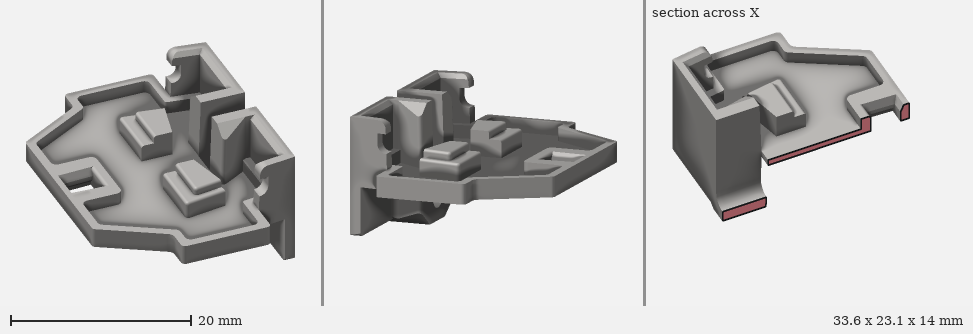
import cadquery as cq
import math

DEPTH = 23.1
PLATE_HALF_WIDTH = 16.8
PLATE_THICKNESS = 2.35
PLATE_SIDE_FRONT_Y = 7.75
PLATE_SIDE_BACK_Y = 18.45
FOOT_HALF_WIDTH = 9.55
TAPER_ANGLE = 30.0
CORNER_R = 0.5
TAPER_ROOT_R = 0.9

TOP_Z = 7.87
HEIGHT = 14.0
BLOCK_BOTTOM_Z = TOP_Z - HEIGHT
LOWER_WALL_BOTTOM_Z = -5.63

SIDE_ANGLE = 8.0
DRAFT_ANGLE = 2.0

BACK_HALF_WIDTH = 12.6
BACK_WALL = 1.33
SIDE_WALL = 1.55
RIM_CHAMFER = 0.5
NOTCH_TOP_Z = 6.37
NOTCH_BOTTOM_Z = 4.14
NOTCH_Y = DEPTH - 3.45
NOTCH_R = 1.05
WALL_TIP_R = 1.0

RIM = 1.0
FLOOR_Z = 0.85
POCKET_SIDE_INSET = 2.5
POCKET_R = 0.7
POCKET_SHOULDER_R = 0.3
POCKET_BACK_R = 1.0
TAB_HALF_WIDTH = 4.0
TAB_BACK_Y = 6.0

WINDOW_FRONT_Y = 0.7
WINDOW_BACK_Y = 5.15
WINDOW_FRONT_HALF = 1.9
WINDOW_BACK_HALF = 2.1
WINDOW_FRONT_INSET = 0.43
WINDOW_BACK_INSET = 0.4
WINDOW_SIDE_INSET = 0.5
WINDOW_FUNNEL_Z = 1.45
WINDOW_LAND_Z = 0.95

BLOCK_NECK_HALF = 3.03
BLOCK_NECK_Y = DEPTH - 1.92
BLOCK_FRONT_Y = DEPTH - 5.62
BLOCK_FLARE_ANGLE = 30.0
BLOCK_EDGE_R = 0.4
BLOCK_ROOT_R = 0.57
BLOCK_BEVEL_ANGLE = 35.0
BLOCK_BOTTOM_HALF = 2.25
SLOT_WIDTH = 3.1
SLOT_BOTTOM_Z = -4.67

BOSS_INNER_X = 3.03
BOSS_INNER_BACK_Y = 14.95
BOSS_BACK_SLOPE = 0.235
BOSS_SIDE_ANGLE = 9.0
BOSS_EDGE_R = 0.34
BOSS_CORNER_R = 0.4
BOSS_STEPS = [(9.63, 11.26, 2.87), (8.6, 12.73, 3.8)]


def tan(degrees):
    return math.tan(math.radians(degrees))


def side_x(y):
    """Outer X of the splayed side wall at a given Y."""
    return BACK_HALF_WIDTH + (DEPTH - y) * tan(SIDE_ANGLE)


def taper_x(y):
    """Outer X of the front taper at a given Y."""
    return FOOT_HALF_WIDTH + y * tan(TAPER_ANGLE)


def nearest(x, y, z):
    """Selector for the edge whose centre is closest to a point."""
    return cq.selectors.NearestToPointSelector((x, y, z))


def outline(corners, z=0.0):
    """Closed wire through (x, y, radius) corners, each rounded to its radius."""
    wp = cq.Workplane("XY").workplane(offset=z)
    count = len(corners)
    for i, (x, y, radius) in enumerate(corners):
        corner = cq.Vector(x, y)
        to_prev = (cq.Vector(*corners[i - 1][:2]) - corner).normalized()
        to_next = (cq.Vector(*corners[(i + 1) % count][:2]) - corner).normalized()
        half_angle = to_prev.getAngle(to_next) / 2
        run = radius / math.tan(half_angle)
        start = corner + to_prev * run
        wp = wp.lineTo(start.x, start.y) if i else wp.moveTo(start.x, start.y)
        if radius > 0:
            bisector = (to_prev + to_next).normalized()
            middle = corner + bisector * (radius / math.sin(half_angle) - radius)
            end = corner + to_next * run
            wp = wp.threePointArc((middle.x, middle.y), (end.x, end.y))
    return wp.close()


def symmetric(right_half):
    """Add the mirrored left half to a list of right-half corners."""
    return right_half + [(-x, y, r) for x, y, r in reversed(right_half)]


def prism(corners, z_low, z_high):
    return outline(corners, z_low).extrude(z_high - z_low)


def loft(lower, upper):
    """Straight-sided solid between two outlines at different heights."""
    return cq.Workplane(cq.Solid.makeLoft([lower.val(), upper.val()], True))


def across_x(points):
    """Prism of a Y-Z profile running the full width of the part."""
    return cq.Workplane("YZ").polyline(points).close().extrude(PLATE_HALF_WIDTH, both=True)


def make_plate():
    return prism(symmetric([
        (FOOT_HALF_WIDTH, 0, CORNER_R),
        (taper_x(PLATE_SIDE_FRONT_Y), PLATE_SIDE_FRONT_Y, TAPER_ROOT_R),
        (PLATE_HALF_WIDTH, PLATE_SIDE_FRONT_Y, CORNER_R),
        (PLATE_HALF_WIDTH, PLATE_SIDE_BACK_Y, CORNER_R),
        (side_x(PLATE_SIDE_BACK_Y), PLATE_SIDE_BACK_Y, 0),
        (side_x(DEPTH), DEPTH, 0),
    ]), 0, PLATE_THICKNESS)


def make_tray_pocket():
    taper_inset = RIM / math.cos(math.radians(TAPER_ANGLE))
    front_y = PLATE_SIDE_FRONT_Y + RIM
    shoulder_y = PLATE_SIDE_BACK_Y - RIM
    back_y = DEPTH - BACK_WALL - RIM
    side_x_inner = PLATE_HALF_WIDTH - RIM
    return prism(symmetric([
        (TAB_HALF_WIDTH, TAB_BACK_Y, POCKET_R),
        (TAB_HALF_WIDTH, RIM, POCKET_R),
        (taper_x(RIM) - taper_inset, RIM, POCKET_R),
        (taper_x(front_y) - taper_inset, front_y, POCKET_R),
        (side_x_inner, front_y, POCKET_R),
        (side_x_inner, shoulder_y, POCKET_R),
        (side_x(shoulder_y) - POCKET_SIDE_INSET, shoulder_y, POCKET_SHOULDER_R),
        (side_x(back_y) - POCKET_SIDE_INSET, back_y, POCKET_BACK_R),
    ]), FLOOR_Z, PLATE_THICKNESS)


def make_upper_walls():
    """Back wall and splayed side walls standing on the plate, with snap notches."""
    front_y = PLATE_SIDE_BACK_Y
    height = TOP_Z - PLATE_THICKNESS
    walls = prism(symmetric([
        (side_x(front_y), front_y, 0),
        (BACK_HALF_WIDTH, DEPTH, 0),
    ]), PLATE_THICKNESS, TOP_Z)

    def cavity(inset, z):
        back_y = DEPTH - BACK_WALL + inset
        half = SIDE_WALL - inset
        return outline(symmetric([
            (side_x(0) - half, 0, 0),
            (side_x(back_y) - half, back_y, 0),
        ]), z)

    walls = walls.cut(cavity(0, PLATE_THICKNESS).extrude(height))
    walls = walls.cut(loft(cavity(0, TOP_Z - RIM_CHAMFER), cavity(RIM_CHAMFER, TOP_Z)))

    tip_y = front_y + height * tan(DRAFT_ANGLE)
    side_profile = across_x([
        (front_y, PLATE_THICKNESS), (DEPTH, PLATE_THICKNESS),
        (DEPTH, TOP_Z), (tip_y, TOP_Z),
    ]).edges(nearest(0, tip_y, TOP_Z)).fillet(WALL_TIP_R)
    notch = (
        cq.Workplane("YZ")
        .moveTo(0, NOTCH_TOP_Z)
        .lineTo(NOTCH_Y, NOTCH_TOP_Z)
        .lineTo(NOTCH_Y, NOTCH_BOTTOM_Z + NOTCH_R)
        .radiusArc((NOTCH_Y - NOTCH_R, NOTCH_BOTTOM_Z), NOTCH_R)
        .lineTo(0, NOTCH_BOTTOM_Z)
        .close()
        .extrude(PLATE_HALF_WIDTH, both=True)
    )
    return walls.intersect(side_profile).cut(notch)


def make_lower_wall():
    """Back wall hanging below the plate, with rounded bottom corners."""
    front_y = DEPTH - BACK_WALL
    half = side_x(front_y)
    wall = prism(symmetric([
        (half, front_y, 0),
        (BACK_HALF_WIDTH, DEPTH, 0),
    ]), LOWER_WALL_BOTTOM_Z, 0)
    face = (
        cq.Workplane("XZ")
        .rect(2 * half, -2 * LOWER_WALL_BOTTOM_Z)
        .extrude(-DEPTH)
        .edges("|Y")
        .fillet(CORNER_R)
    )
    return wall.intersect(face)


def make_block():
    """Dovetail block: flared flanks, drafted front, bevelled top and bottom."""
    flare = tan(BLOCK_FLARE_ANGLE)
    wall_y = DEPTH - BACK_WALL

    def flank_x(y):
        return BLOCK_NECK_HALF + (BLOCK_NECK_Y - y) * flare

    tip = (flank_x(BLOCK_FRONT_Y), BLOCK_FRONT_Y, 0)
    upper = prism(symmetric([
        tip,
        (BLOCK_NECK_HALF, BLOCK_NECK_Y, 0),
        (BLOCK_NECK_HALF, DEPTH, 0),
    ]), 0, TOP_Z)
    root_half = flank_x(wall_y) + 2 * BLOCK_ROOT_R
    lower = prism(symmetric([
        tip,
        (flank_x(wall_y), wall_y, BLOCK_ROOT_R),
        (root_half, wall_y, 0),
        (root_half, DEPTH, 0),
    ]), BLOCK_BOTTOM_Z, 0)

    def drafted(body, end_z):
        front_y = BLOCK_FRONT_Y + abs(end_z) * tan(DRAFT_ANGLE)
        body = body.intersect(across_x([
            (BLOCK_FRONT_Y, 0), (DEPTH, 0), (DEPTH, end_z), (front_y, end_z),
        ]))
        for side in (-1, 1):
            x, y, _ = tip
            front_edge = nearest(side * x, (y + front_y) / 2, end_z / 2)
            body = body.edges(front_edge).fillet(BLOCK_EDGE_R)
        return body

    block = drafted(upper, TOP_Z).union(drafted(lower, BLOCK_BOTTOM_Z))

    reach = tip[0]
    bevel = tan(BLOCK_BEVEL_ANGLE)
    right_half = [
        (BLOCK_BOTTOM_HALF, BLOCK_BOTTOM_Z),
        (reach, BLOCK_BOTTOM_Z + (reach - BLOCK_BOTTOM_HALF) * bevel),
        (reach, TOP_Z - (reach - BLOCK_NECK_HALF) * bevel),
        (BLOCK_NECK_HALF, TOP_Z),
    ]
    envelope = (
        cq.Workplane("XZ")
        .polyline(right_half + [(-x, z) for x, z in reversed(right_half)])
        .close()
        .extrude(-DEPTH)
    )
    return block.intersect(envelope)


def make_slot():
    """U slot through the block, open at the top."""
    radius = SLOT_WIDTH / 2
    return (
        cq.Workplane("XZ", origin=(0, BLOCK_FRONT_Y, 0))
        .moveTo(-radius, TOP_Z)
        .lineTo(-radius, SLOT_BOTTOM_Z + radius)
        .threePointArc((0, SLOT_BOTTOM_Z), (radius, SLOT_BOTTOM_Z + radius))
        .lineTo(radius, TOP_Z)
        .close()
        .extrude(BLOCK_FRONT_Y - DEPTH)
    )


def make_window():
    """Latch window: funnel on top, a narrow land, and side undercuts below."""
    front_y = WINDOW_FRONT_Y + WINDOW_FRONT_INSET
    back_y = WINDOW_BACK_Y - WINDOW_BACK_INSET
    front_half = WINDOW_FRONT_HALF - WINDOW_SIDE_INSET
    back_half = WINDOW_BACK_HALF - WINDOW_SIDE_INSET

    def section(widening, z):
        return outline(symmetric([
            (front_half + widening, front_y, 0),
            (back_half + widening, back_y, 0),
        ]), z)

    mouth = outline(symmetric([
        (WINDOW_FRONT_HALF, WINDOW_FRONT_Y, 0),
        (WINDOW_BACK_HALF, back_y, 0),
    ]), PLATE_THICKNESS)
    funnel = loft(section(0, WINDOW_FUNNEL_Z), mouth)
    undercut_z = WINDOW_LAND_Z - WINDOW_SIDE_INSET
    land = section(0, 0).extrude(WINDOW_FUNNEL_Z)
    flare = loft(section(WINDOW_SIDE_INSET, undercut_z), section(0, WINDOW_LAND_Z))
    base = section(WINDOW_SIDE_INSET, 0).extrude(undercut_z)

    lip_z = PLATE_THICKNESS - WINDOW_BACK_INSET
    lip = (
        cq.Workplane("YZ")
        .moveTo(back_y, lip_z)
        .radiusArc((WINDOW_BACK_Y, PLATE_THICKNESS), WINDOW_BACK_INSET)
        .lineTo(back_y, PLATE_THICKNESS)
        .close()
        .extrude(WINDOW_BACK_HALF, both=True)
    )
    return funnel.union(land).union(flare).union(base).union(lip)


def make_boss():
    """Right-hand boss: two stacked steps sharing a slanted back face."""

    def back_y(x):
        return BOSS_INNER_BACK_Y + (x - BOSS_INNER_X) * BOSS_BACK_SLOPE

    splay = tan(BOSS_SIDE_ANGLE)
    boss = cq.Workplane("XY")
    for front_x, front_y, top_z in BOSS_STEPS:
        run = (back_y(front_x) - front_y) / (1 + splay * BOSS_BACK_SLOPE)
        outer_x = front_x - run * splay
        step = prism([
            (BOSS_INNER_X, front_y, 0),
            (front_x, front_y, BOSS_CORNER_R),
            (outer_x, back_y(outer_x), 0),
            (BOSS_INNER_X, BOSS_INNER_BACK_Y, 0),
        ], 0, top_z)
        front_edge = nearest((BOSS_INNER_X + front_x) / 2, front_y, top_z)
        boss = boss.union(step.edges(front_edge).fillet(BOSS_EDGE_R))
    return boss


right_boss = make_boss()
result = (
    make_plate()
    .cut(make_tray_pocket())
    .union(make_upper_walls())
    .union(make_lower_wall())
    .union(make_block())
    .cut(make_slot())
    .cut(make_window())
    .union(right_boss)
    .union(right_boss.mirror("YZ"))
)